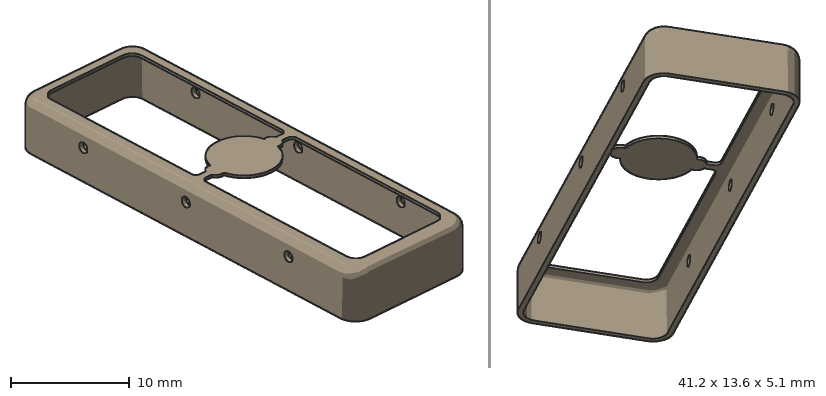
import cadquery as cq

length = 41.2
width = 13.6
height = 5.1
corner_radius = 1.77
top_edge_radius = 1.0

rim_width = 1.52
opening_corner_radius = 1.1
wall_thickness = 0.5
cavity_corner_radius = corner_radius - wall_thickness
lip_thickness = 0.3

disc_radius = 3.25
knob_radius = 0.85
knob_offset = 3.35
strap_width = 0.75
strap_root_radius = 0.5

hole_diameter = 1.0
hole_spacing = 12.5
hole_depth_below_top = 1.77

opening_length = length - 2 * rim_width
opening_width = width - 2 * rim_width
lip_bottom = height - lip_thickness


def rounded_block(size_x, size_y, size_z, radius):
    """Block standing on Z = 0 with rounded vertical edges."""
    block = cq.Workplane("XY").box(size_x, size_y, size_z, centered=(True, True, False))
    return block.edges("|Z").fillet(radius)


def make_frame():
    """Rounded shell, open at the bottom, with a thin lip; its inner top edge follows the outer rounding."""
    shell = rounded_block(length, width, height, corner_radius)
    shell = shell.faces(">Z").edges().fillet(top_edge_radius)
    cavity = rounded_block(
        length - 2 * wall_thickness, width - 2 * wall_thickness, lip_bottom, cavity_corner_radius
    )
    cavity = cavity.faces(">Z").edges().fillet(top_edge_radius - wall_thickness)
    opening = rounded_block(opening_length, opening_width, height, opening_corner_radius)
    return shell.cut(cavity).cut(opening)


def make_strap_root(side):
    """Strap end flaring into the rim with a concave arc on each flank; side is +1 or -1."""
    half_strap = strap_width / 2
    half_root = half_strap + strap_root_radius
    rim_y = side * opening_width / 2
    flare_y = rim_y - side * strap_root_radius
    arc_inset = strap_root_radius * (1 - 0.5**0.5)
    arc_x = half_strap + arc_inset
    arc_y = rim_y - side * arc_inset
    return (
        cq.Workplane("XY", origin=(0, 0, lip_bottom))
        .moveTo(-half_root, rim_y)
        .threePointArc((-arc_x, arc_y), (-half_strap, flare_y))
        .lineTo(half_strap, flare_y)
        .threePointArc((arc_x, arc_y), (half_root, rim_y))
        .close()
        .extrude(lip_thickness)
    )


def make_disc_bridge():
    """Disc in the middle of the opening, with a knob and strap toward each long side."""
    plane = cq.Workplane("XY", origin=(0, 0, lip_bottom))
    bridge = plane.circle(disc_radius).extrude(lip_thickness)
    knobs = plane.pushPoints([(0, -knob_offset), (0, knob_offset)])
    bridge = bridge.union(knobs.circle(knob_radius).extrude(lip_thickness))
    bridge = bridge.union(plane.rect(strap_width, opening_width).extrude(lip_thickness))
    for side in (-1, 1):
        bridge = bridge.union(make_strap_root(side))
    return bridge


def make_cross_holes():
    """Row of cylinders along Y through both long walls."""
    return (
        cq.Workplane("XZ", origin=(0, 0, height - hole_depth_below_top))
        .rarray(hole_spacing, 0.4, 3, 1)
        .circle(hole_diameter / 2)
        .extrude(width, both=True)
    )


result = make_frame().cut(make_cross_holes()).union(make_disc_bridge())